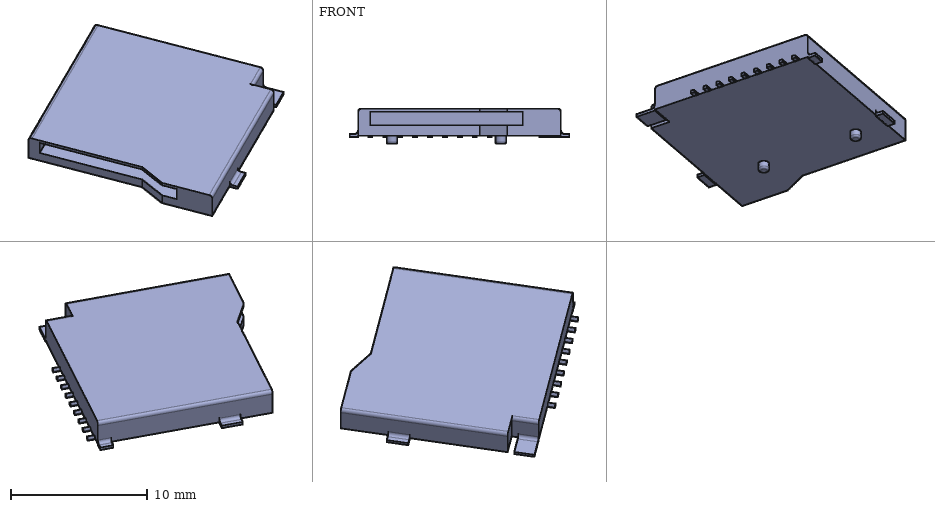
import cadquery as cq

housing_width = 14.9
housing_depth = 14.5
housing_height = 2.0
edge_radius = 0.26
half_width = housing_width / 2

step_depth = 1.1
slope_left_x = 1.5
slope_right_x = 3.5

notch_width = 1.6
notch_depth = 2.0
notch_x = half_width - notch_width
notch_y = housing_depth - notch_depth

roof_thickness = 0.25
slot_height = 0.99
slot_left_x = -6.55
slot_right_x = 4.65
slot_rear_wall = 0.26

total_width = 16.15
foot_bottom = -0.1
foot_top = 0.15
foot_fillet = 0.26
foot_length = (total_width - housing_width) / 2
side_foot_width = 1.62
side_foot_y = 3.57
rear_foot_width = 1.0
notch_foot_width = 1.52

contact_count = 9
contact_pitch = 1.1
first_contact_x = -6.55
contact_width = 0.3
contact_length = 0.55
contact_radius = 0.1
contact_bevel = -foot_bottom

peg_diameter = 0.8
peg_length = 0.6
peg_edge_radius = 0.16
peg_y = 4.0
peg_xs = (-4.95, 3.04)


def make_box(x_range, y_range, z_range):
    """Box spanning the given (low, high) range on each axis."""
    (x0, x1), (y0, y1), (z0, z1) = x_range, y_range, z_range
    return cq.Workplane("XY").box(x1 - x0, y1 - y0, z1 - z0, centered=False).translate((x0, y0, z0))


def make_housing():
    """Stepped and notched plate with its top side edges rounded and the card slot cut in."""
    housing = (
        cq.Workplane("XY")
        .moveTo(-half_width, step_depth)
        .lineTo(slope_left_x, step_depth)
        .lineTo(slope_right_x, 0)
        .lineTo(half_width, 0)
        .lineTo(half_width, notch_y)
        .lineTo(notch_x, notch_y)
        .lineTo(notch_x, housing_depth)
        .lineTo(-half_width, housing_depth)
        .close()
        .extrude(housing_height)
        .faces(">Z")
        .edges("|Y")
        .fillet(edge_radius)
    )
    slot_top = housing_height - roof_thickness
    slot = make_box(
        (slot_left_x, slot_right_x),
        (0, housing_depth - slot_rear_wall),
        (slot_top - slot_height, slot_top),
    )
    return housing.cut(slot)


def make_foot(wall_x, side, length, y_start, width):
    """Flat foot leaving a wall towards +X (side = 1) or -X (side = -1), with a fillet in the corner."""
    arc_offset = foot_fillet * (1 - 0.5 ** 0.5)
    return (
        cq.Workplane("XZ", origin=(wall_x, y_start + width, 0))
        .moveTo(0, foot_bottom)
        .lineTo(side * length, foot_bottom)
        .lineTo(side * length, foot_top)
        .lineTo(side * foot_fillet, foot_top)
        .threePointArc((side * arc_offset, foot_top + arc_offset), (0, foot_top + foot_fillet))
        .close()
        .extrude(width)
    )


def make_contact(x):
    """Contact tail with rounded long top edges and a bevel below the rear face of the housing."""
    contact = make_box(
        (x - contact_width / 2, x + contact_width / 2),
        (housing_depth, housing_depth + contact_length),
        (foot_bottom, foot_top),
    )
    contact = contact.faces("<Z").edges("<Y").chamfer(contact_bevel)
    return contact.faces(">Z").edges("|Y").fillet(contact_radius)


def make_peg(x):
    """Round peg below the housing with a rounded lower edge."""
    peg = cq.Workplane("XY", origin=(x, peg_y, 0)).circle(peg_diameter / 2).extrude(-peg_length)
    return peg.faces("<Z").edges().fillet(peg_edge_radius)


result = make_housing()

for side in (-1, 1):
    result = result.union(make_foot(side * half_width, side, foot_length, side_foot_y, side_foot_width))

rear_foot_y = housing_depth - rear_foot_width
result = result.union(make_foot(-half_width, -1, foot_length, rear_foot_y, rear_foot_width))

notch_foot_y = housing_depth - notch_foot_width
result = result.union(make_foot(notch_x, 1, notch_width, notch_foot_y, notch_foot_width))

for index in range(contact_count):
    result = result.union(make_contact(first_contact_x + index * contact_pitch))

for x in peg_xs:
    result = result.union(make_peg(x))